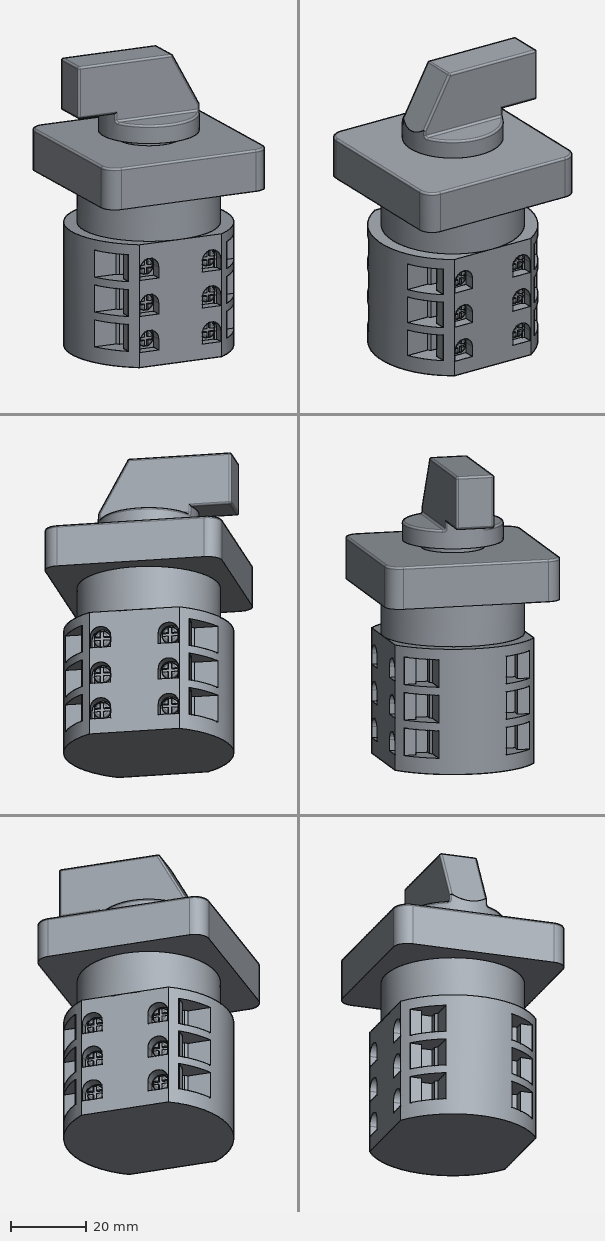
import cadquery as cq


BLOCK_RADIUS = 22.7
BLOCK_HALF_WIDTH = 19.1
BLOCK_HEIGHT = 34.0

COLLAR_RADIUS = BLOCK_HALF_WIDTH
PLATE_SIZE = 48.0
PLATE_BOTTOM = 46.0
PLATE_TOP = 57.4
PLATE_CORNER_RADIUS = 4.05
SPINDLE_RADIUS = 8.4
DISC_RADIUS = 13.45
DISC_BOTTOM = 59.45
DISC_TOP = 64.5
EDGE_RADIUS = 0.6

HANDLE_WIDTH = 10.45
HANDLE_TOP = 81.0
HANDLE_NOSE_Y = -23.5
HANDLE_UNDERSIDE = 66.7
SLOPE_TOP_Y = 4.5
SLOPE_RUN_PER_RISE = 0.55

LEVELS = 3

WINDOW_BOTTOM = 4.4
WINDOW_HEIGHT = 7.45
WINDOW_PITCH = 9.6
WINDOW_INNER_X = 9.3
WINDOW_OUTER_X = 17.25
SHOULDER_X = 14.0
SHOULDER_Y = 14.5
POCKET_STEP_X = 10.05
POCKET_STEP_Y = 13.6
POCKET_BACK_Y = 11.75

SCREW_Y = 9.2
SCREW_LOWEST_Z = 7.2
SCREW_PITCH = 10.0
SCREW_RADIUS = 2.3
SCREW_RIM_RADIUS = 0.65
SCREW_FACE_DEPTH = 1.95
SCREW_SLOT_WIDTH = 1.0
SCREW_SLOT_DEPTH = 0.8
RECESS_HALF_WIDTH = 2.75
RECESS_DROP = 3.0
RECESS_DEPTH = 3.1
LEDGE_WIDTH = 0.65
LEDGE_DEPTH = 2.6

TOLERANCE = 0.01


def cylinder(radius, bottom, top):
    return cq.Workplane("XY").workplane(offset=bottom).circle(radius).extrude(top - bottom)


def make_block():
    flats = cq.Workplane("XY").box(
        2 * BLOCK_HALF_WIDTH, 2 * BLOCK_RADIUS, BLOCK_HEIGHT, centered=(True, True, False)
    )
    return cylinder(BLOCK_RADIUS, 0, BLOCK_HEIGHT).intersect(flats)


def make_plate():
    plate = (
        cq.Workplane("XY")
        .workplane(offset=PLATE_BOTTOM)
        .rect(PLATE_SIZE, PLATE_SIZE)
        .extrude(PLATE_TOP - PLATE_BOTTOM)
    )
    return plate.edges("|Z").fillet(PLATE_CORNER_RADIUS).faces(">Z").edges().fillet(EDGE_RADIUS)


def slope_y(z):
    """Y of the handle's sloped back at height z."""
    return SLOPE_TOP_Y + SLOPE_RUN_PER_RISE * (HANDLE_TOP - z)


def make_handle():
    """Sharp-edged lever; below the overhang and along its foot it is trimmed to the disc outline."""
    lever = (
        cq.Workplane("YZ")
        .polyline([
            (HANDLE_NOSE_Y, HANDLE_UNDERSIDE),
            (HANDLE_NOSE_Y, HANDLE_TOP),
            (SLOPE_TOP_Y, HANDLE_TOP),
            (slope_y(DISC_BOTTOM), DISC_BOTTOM),
            (-DISC_RADIUS, DISC_BOTTOM),
            (-DISC_RADIUS, HANDLE_UNDERSIDE),
        ])
        .close()
        .extrude(HANDLE_WIDTH / 2, both=True)
    )
    overhang = cq.Workplane("XY").box(
        HANDLE_WIDTH, -HANDLE_NOSE_Y, HANDLE_TOP - HANDLE_UNDERSIDE, centered=(True, False, False)
    ).translate((0, HANDLE_NOSE_Y, HANDLE_UNDERSIDE))
    envelope = cylinder(DISC_RADIUS, DISC_BOTTOM, HANDLE_TOP).union(overhang)
    return lever.intersect(envelope)


def make_knob():
    """Disc and handle in one piece, with rounded edges and a rounded junction between them."""
    knob = cylinder(DISC_RADIUS, DISC_BOTTOM, DISC_TOP).union(make_handle())

    def is_rounded(edge):
        bounds = edge.BoundingBox()
        on_or_above_disc = bounds.zmin > DISC_TOP - TOLERANCE
        flat_with_disc = bounds.zmax < DISC_TOP + TOLERANCE
        return on_or_above_disc and (flat_with_disc or edge.geomType() == "LINE")

    return knob.edges().filter(is_rounded).fillet(EDGE_RADIUS)


def make_window(level):
    """Stepped wire pocket in the +X +Y quadrant, open to the round side."""
    outline = [
        (WINDOW_OUTER_X, BLOCK_RADIUS),
        (WINDOW_OUTER_X, SHOULDER_Y),
        (SHOULDER_X, SHOULDER_Y),
        (SHOULDER_X, POCKET_BACK_Y),
        (POCKET_STEP_X, POCKET_BACK_Y),
        (POCKET_STEP_X, POCKET_STEP_Y),
        (WINDOW_INNER_X, POCKET_STEP_Y + POCKET_STEP_X - WINDOW_INNER_X),
        (WINDOW_INNER_X, BLOCK_RADIUS),
    ]
    bottom = WINDOW_BOTTOM + level * WINDOW_PITCH
    return cq.Workplane("XY").workplane(offset=bottom).polyline(outline).close().extrude(WINDOW_HEIGHT)


def make_recess(z):
    """Arched recess in the -X flat at +Y, with a narrow ledge along its outer side."""
    recess = (
        cq.Workplane("YZ", origin=(-BLOCK_HALF_WIDTH, SCREW_Y, z))
        .moveTo(-RECESS_HALF_WIDTH, -RECESS_DROP)
        .lineTo(RECESS_HALF_WIDTH, -RECESS_DROP)
        .lineTo(RECESS_HALF_WIDTH, 0)
        .threePointArc((0, RECESS_HALF_WIDTH), (-RECESS_HALF_WIDTH, 0))
        .close()
        .extrude(RECESS_DEPTH)
    )
    ledge_y = SCREW_Y + RECESS_HALF_WIDTH - LEDGE_WIDTH / 2
    ledge = (
        cq.Workplane("YZ", origin=(LEDGE_DEPTH - BLOCK_HALF_WIDTH, ledge_y, z))
        .rect(LEDGE_WIDTH, 2 * RECESS_DROP)
        .extrude(RECESS_DEPTH)
    )
    return recess.cut(ledge)


def make_screw(z):
    """Round-rimmed cross-slotted screw head standing on the recess floor."""
    face = cq.Workplane("YZ", origin=(SCREW_FACE_DEPTH - BLOCK_HALF_WIDTH, SCREW_Y, z))
    head = face.circle(SCREW_RADIUS).extrude(RECESS_DEPTH - SCREW_FACE_DEPTH)
    head = head.faces("<X").edges().fillet(SCREW_RIM_RADIUS)
    for length, width in ((SCREW_SLOT_WIDTH, 2 * SCREW_RADIUS), (2 * SCREW_RADIUS, SCREW_SLOT_WIDTH)):
        head = head.cut(face.rect(length, width).extrude(SCREW_SLOT_DEPTH))
    return head


def in_all_quadrants(feature):
    """The feature together with its mirror images about the XZ and YZ planes."""
    pair = feature.union(feature.mirror("XZ"))
    return pair.union(pair.mirror("YZ"))


block = make_block()
for level in range(LEVELS):
    screw_z = SCREW_LOWEST_Z + level * SCREW_PITCH
    block = block.cut(in_all_quadrants(make_window(level)))
    block = block.cut(in_all_quadrants(make_recess(screw_z)))
    block = block.union(in_all_quadrants(make_screw(screw_z)))

result = (
    block.union(cylinder(COLLAR_RADIUS, BLOCK_HEIGHT, PLATE_BOTTOM))
    .union(make_plate())
    .union(cylinder(SPINDLE_RADIUS, PLATE_TOP, DISC_BOTTOM))
    .union(make_knob())
)